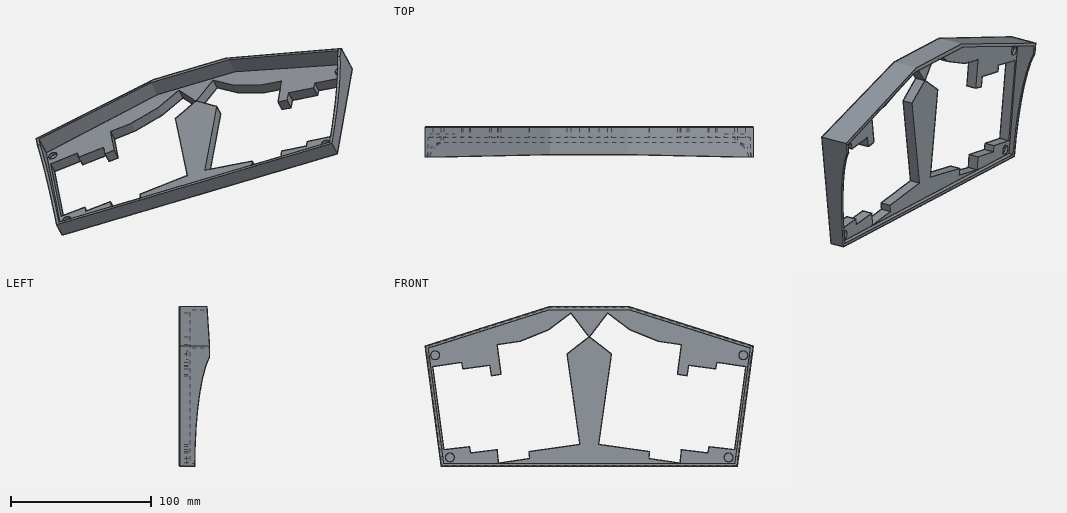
import cadquery as cq
import math

width = 233.2
height = 113.5
depth = 22.0
base_width = 210.3
roof_width = 55.3
shoulder_height = 85.3
base_depth = 11.5
roof_depth = 20.0

wall = 2.0
roof_wall = 2.8
plate_thickness = 8.0
back_chamfer = 0.7

hollow_depth_radius = 15.6
hollow_height_radius = 82.0

hole_diameter = 6.3
hole_depth = 2.3
upper_hole = (109.3, 78.8)
lower_hole = (98.9, 6.3)

neck = 0.2

window_corners = [
    (-111.0, 70.6),
    (-90.7, 73.7),
    (-89.8, 69.0),
    (-70.6, 71.5),
    (-69.5, 64.0),
    (-62.5, 65.3),
    (-65.3, 86.3),
    (-49.2, 88.5),
    (-29.0, 96.8),
    (-13.0, 108.6),
    (-neck, 91.9),
    (-15.9, 79.7),
    (-6.8, 15.6),
    (-43.0, 10.5),
    (-42.5, 5.5),
    (-64.3, 2.3),
    (-65.3, 12.0),
    (-84.2, 9.5),
    (-84.9, 14.0),
    (-103.0, 12.0),
]


def prism(points, front, back=0.0):
    """Extrude an XZ outline between two distances in front of the back face."""
    outline = cq.Workplane("XZ", origin=(0, -back, 0)).polyline(points).close()
    return outline.extrude(front - back)


def mirrored(left_points):
    """Close a left half outline with its mirror image."""
    return left_points + [(-x, z) for x, z in reversed(left_points)]


outer_left = [
    (-base_width / 2, 0),
    (-width / 2, shoulder_height),
    (-roof_width / 2, height),
]

side_slope = (width - base_width) / 2 / shoulder_height
side_shift = wall * math.hypot(1, side_slope)
roof_slope = (height - shoulder_height) / ((width - roof_width) / 2)
roof_shift = wall * math.hypot(1, roof_slope)


def inner_side_x(z):
    return -base_width / 2 - side_slope * z + side_shift


inner_roof_z = height - roof_wall
inner_roof_x = -roof_width / 2 - (roof_wall - roof_shift) / roof_slope
inner_shoulder_z = (
    shoulder_height - roof_shift + roof_slope * (width / 2 - base_width / 2 + side_shift)
) / (1 + roof_slope * side_slope)
inner_left = [
    (inner_side_x(wall), wall),
    (inner_side_x(inner_shoulder_z), inner_shoulder_z),
    (inner_roof_x, inner_roof_z),
]

block = prism(mirrored(outer_left), depth).faces(">Y").chamfer(back_chamfer)

roof_trim = (
    cq.Workplane("YZ")
    .polyline([(-depth, shoulder_height), (-depth, height), (-roof_depth, height)])
    .close()
    .extrude(width / 2, both=True)
)
hollow = (
    cq.Workplane("YZ")
    .center(-base_depth - hollow_depth_radius, 0)
    .ellipse(hollow_depth_radius, hollow_height_radius)
    .extrude(width / 2, both=True)
)

recess = prism(mirrored(inner_left), depth, plate_thickness)
left_window = prism(window_corners, depth)
right_window = left_window.mirror("YZ")

result = block.cut(roof_trim).cut(hollow).cut(recess).cut(left_window).cut(right_window)

hole_centres = [(side * x, z) for side in (-1, 1) for x, z in (upper_hole, lower_hole)]
holes = (
    cq.Workplane("XZ", origin=(0, hole_depth - plate_thickness, 0))
    .pushPoints(hole_centres)
    .circle(hole_diameter / 2)
    .extrude(hole_depth)
)
result = result.cut(holes)